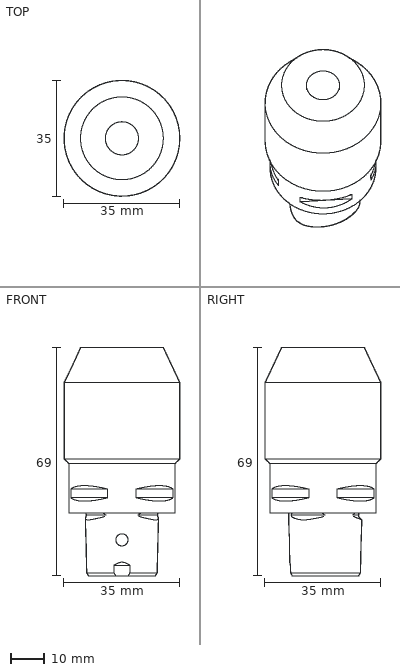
import cadquery as cq
import math

total_height = 69.0
end_chamfer_height = 1.05
taper_top = 16.55
flange_bottom = 19.05
flange_top = 33.95
body_bottom = 35.3
nose_bottom = 58.4

body_radius = 17.49
flange_radius = 16.0
nose_radius = 12.5
bore_diameter = 10.0
bore_depth = 27.6

shank_radius = 11.05
lobe_height = 0.7
lobe_count = 3
taper_ratio = 1 / 20
end_chamfer_width = 0.6
outline_points = 36

groove_radius = 10.75
groove_top_radius = 10.9
groove_outer_radius = 12.4
groove_waist_drop = 0.6
groove_fillet = 1.2
groove_flank_angle = math.radians(45)

slot_count = 4
slot_height = 25.0
slot_floor_width = 2.6
slot_floor_distance = 13.95
slot_flare = 0.5

hole_diameter = 3.65
hole_height = 11.0
hole_depth = 3.45
keyway_radius = 3.2
keyway_axis_y = -11.9
keyway_side_height = 3.25
keyway_cone_slope = 0.75


def lobed_wire(radius, height):
    """Constant-width trilobe, traced from its support function."""

    def outline_point(index):
        angle = 2 * math.pi * index / outline_points
        phase = lobe_count * (angle - math.pi / 2)
        support = radius + lobe_height * math.cos(phase)
        slope = -lobe_count * lobe_height * math.sin(phase)
        x = support * math.cos(angle) - slope * math.sin(angle)
        y = support * math.sin(angle) + slope * math.cos(angle)
        return cq.Vector(x, y, height)

    points = [outline_point(i) for i in range(outline_points)]
    return cq.Wire.assembleEdges([cq.Edge.makeSpline(points, periodic=True)])


def shank_section(lower_radius, lower_height, upper_radius, upper_height):
    lower = lobed_wire(lower_radius, lower_height)
    upper = lobed_wire(upper_radius, upper_height)
    return cq.Workplane(obj=cq.Solid.makeLoft([lower, upper], True))


def make_shank():
    taper_length = taper_top - end_chamfer_height
    taper_end_radius = shank_radius - taper_length * taper_ratio / 2
    end_radius = taper_end_radius - end_chamfer_width
    end = shank_section(end_radius, 0, taper_end_radius, end_chamfer_height)
    taper = shank_section(taper_end_radius, end_chamfer_height, shank_radius, taper_top)
    collar = shank_section(shank_radius, taper_top, shank_radius, flange_bottom)
    return end.union(taper).union(collar)


def make_body():
    profile = [
        (0, flange_bottom),
        (flange_radius, flange_bottom),
        (flange_radius, flange_top),
        (body_radius, body_bottom),
        (body_radius, nose_bottom),
        (nose_radius, total_height),
        (0, total_height),
    ]
    return cq.Workplane("XZ").polyline(profile).close().revolve(360, (0, 0), (0, 1))


def bore_cutter():
    return cq.Workplane("XY", origin=(0, 0, total_height)).circle(bore_diameter / 2).extrude(-bore_depth)


def groove_cutter():
    waist = flange_bottom - groove_waist_drop

    def fillet_point(angle):
        radius = groove_radius + groove_fillet * (1 - math.cos(angle))
        return radius, waist - groove_fillet * math.sin(angle)

    fillet_end = fillet_point(groove_flank_angle)
    flank_drop = (groove_outer_radius - fillet_end[0]) * math.tan(groove_flank_angle)
    profile = (
        cq.Workplane("XZ")
        .moveTo(groove_top_radius, flange_bottom)
        .lineTo(groove_radius, waist)
        .threePointArc(fillet_point(groove_flank_angle / 2), fillet_end)
        .lineTo(groove_outer_radius, fillet_end[1] - flank_drop)
        .lineTo(groove_outer_radius, flange_bottom)
        .close()
    )
    return profile.revolve(360, (0, 0), (0, 1))


def slot_cutter(angle):
    """Straight slot with flared sides, cut tangentially across the flange."""
    half_floor = slot_floor_width / 2
    outer = body_radius
    half_mouth = half_floor + (outer - slot_floor_distance) * slot_flare
    profile = [
        (slot_floor_distance, slot_height - half_floor),
        (outer, slot_height - half_mouth),
        (outer, slot_height + half_mouth),
        (slot_floor_distance, slot_height + half_floor),
    ]
    prism = cq.Workplane("XZ").polyline(profile).close().extrude(flange_radius, both=True)
    return prism.rotate((0, 0, 0), (0, 0, 1), angle)


def cross_hole_cutter():
    hole_bottom_y = -(shank_radius - lobe_height) + hole_depth
    plane = cq.Workplane("XZ", origin=(0, hole_bottom_y, hole_height))
    return plane.circle(hole_diameter / 2).extrude(shank_radius)


def keyway_cutter():
    """Upright round keyway with a conical roof."""
    roof_height = keyway_side_height + keyway_radius * keyway_cone_slope
    profile = [
        (0, 0),
        (keyway_radius, 0),
        (keyway_radius, keyway_side_height),
        (0, roof_height),
    ]
    plane = cq.Workplane("XZ", origin=(0, keyway_axis_y, 0))
    return plane.polyline(profile).close().revolve(360, (0, 0), (0, 1))


shank = make_shank().cut(groove_cutter()).cut(cross_hole_cutter()).cut(keyway_cutter())
body = make_body().cut(bore_cutter())
for slot in range(slot_count):
    body = body.cut(slot_cutter((slot + 0.5) * 360 / slot_count))

result = body.union(shank)